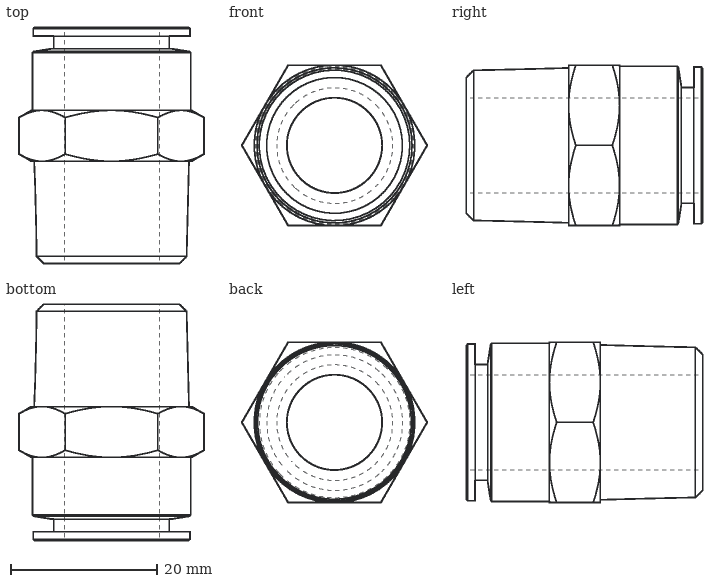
import cadquery as cq
import math

total_length = 32.4
hex_start = 14.03
hex_end = 21.0
body_end = 29.05
neck_start = 29.45
flange_start = 31.17

bore_radius = 6.5
thread_tip_radius = 10.3
thread_base_radius = 10.63
body_radius = 10.85
neck_radius = 7.95
land_radius = 8.25
flange_radius = 10.75

across_flats = 22.0
across_corners = across_flats / math.cos(math.radians(30))
hex_chamfer_angle = 30
thread_chamfer = 1.0
body_chamfer = 0.2
flange_chamfer = 0.23


def revolve_about_y(points):
    """Turn a closed (radius, y) outline around the Y axis."""
    return cq.Workplane("XY").polyline(points).close().revolve(360, (0, 0, 0), (0, 1, 0))


def make_hex():
    """Wrench hexagon with corners on X and conical chamfers on both faces."""
    prism = (
        cq.Workplane("XZ", origin=(0, hex_start, 0))
        .polygon(6, across_corners)
        .extrude(-(hex_end - hex_start))
    )
    face_radius = across_flats / 2
    corner_radius = across_corners / 2
    drop = (corner_radius - face_radius) * math.tan(math.radians(hex_chamfer_angle))
    envelope = revolve_about_y([
        (0, hex_start),
        (face_radius, hex_start),
        (corner_radius, hex_start + drop),
        (corner_radius, hex_end - drop),
        (face_radius, hex_end),
        (0, hex_end),
    ])
    return prism.intersect(envelope)


def make_turned_body():
    """Tapered thread blank, body with shallow conical end, collar neck and flange."""
    return revolve_about_y([
        (0, 0),
        (thread_tip_radius - thread_chamfer, 0),
        (thread_tip_radius, thread_chamfer),
        (thread_base_radius, hex_start),
        (body_radius, hex_start),
        (body_radius, body_end - body_chamfer),
        (body_radius - body_chamfer, body_end),
        (land_radius, neck_start),
        (neck_radius, neck_start),
        (neck_radius, flange_start),
        (flange_radius, flange_start),
        (flange_radius, total_length - flange_chamfer),
        (flange_radius - flange_chamfer, total_length),
        (0, total_length),
    ])


bore = cq.Workplane("XZ").circle(bore_radius).extrude(-total_length)

result = make_turned_body().union(make_hex()).cut(bore)
result = result.translate((0, -total_length / 2, 0))